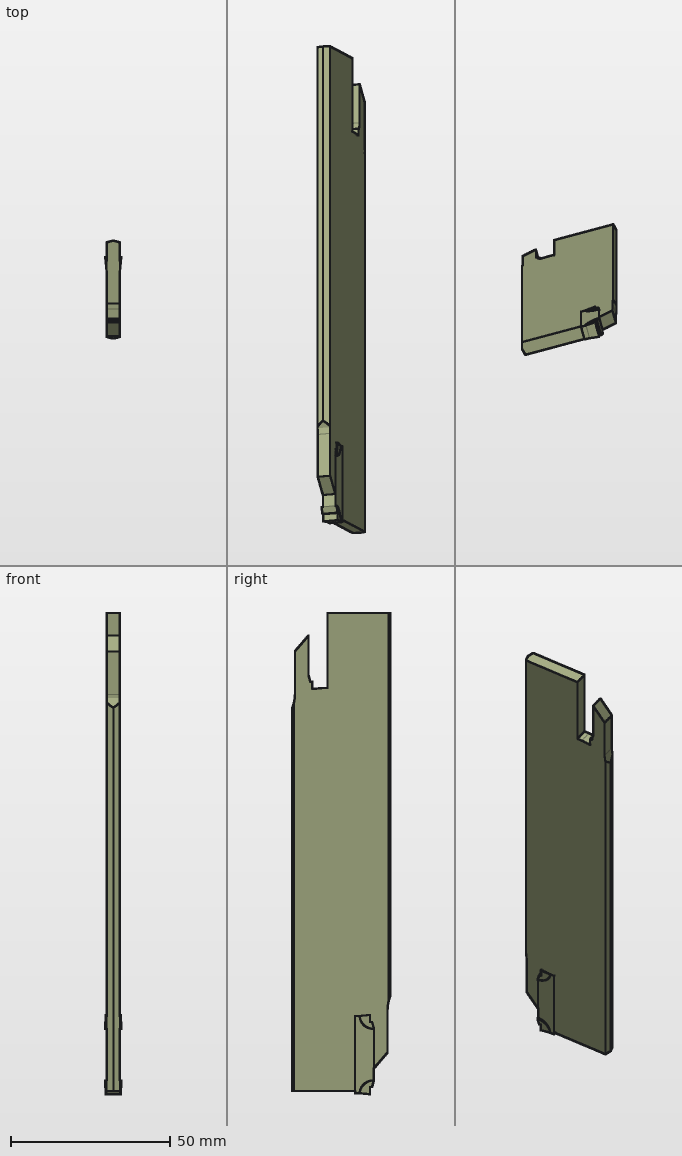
import cadquery as cq
import math


total_length = 151.0
insert_overhang = 1.0
blade_length = total_length - insert_overhang
blade_half_width = 15.4
blade_thickness = 4.2
vee_angle = 15.0
vee_depth = blade_thickness / 2 * math.tan(math.radians(vee_angle))

relief_depth = 0.83
relief_radius = 10.5
relief_length = 25.7
jaw_tip_z = 7.1
jaw_corner_z = 12.1

seat_inner_y = 4.4
seat_outer_y = 10.3
nose_y = 9.0
insert_length = 24.9
head_length = 4.4
step_height = 2.3
step_y = 9.7
lip_y = 6.0
lip_rise = 0.3
head_width = 5.1
insert_bottom_z = -insert_overhang
insert_top_z = insert_bottom_z + insert_length
insert_middle_z = (insert_bottom_z + insert_top_z) / 2
head_end_y = 5.7
head_arc_mid_y = 6.8
head_arc_mid_height = 2.9


def extrude_centred(sketch, thickness):
    """Extrude a closed YZ outline evenly to both sides of X = 0."""
    return sketch.extrude(thickness / 2, both=True)


def turn_end_for_end(shape):
    """Turn a shape half a turn about the X axis through the blade's middle."""
    middle = blade_length / 2
    return shape.rotate((0, 0, middle), (1, 0, middle), 180)


def insert_body():
    """Parallel-sided body of the insert, which is also the shape of its seat."""
    end_profile = [
        (seat_inner_y, lip_rise),
        (lip_y, lip_rise),
        (nose_y, 0),
        (nose_y, step_height),
        (step_y, step_height),
        (seat_outer_y, head_length),
    ]
    lower_points = [(y, insert_bottom_z + height) for y, height in end_profile]
    upper_points = [(y, insert_top_z - height) for y, height in reversed(end_profile)]
    outline = cq.Workplane("YZ").polyline(lower_points + upper_points).close()
    return extrude_centred(outline, blade_thickness)


def jaw_relief():
    """Cutter for the outside of the lower jaw, ending in an arc up to the ridge."""
    relief_y = blade_half_width - relief_depth
    runout = math.sqrt(relief_radius**2 - (relief_radius - relief_depth)**2)
    half_angle = math.asin(runout / relief_radius) / 2
    arc_middle = (
        relief_y + relief_radius * (1 - math.cos(half_angle)),
        relief_length + relief_radius * math.sin(half_angle),
    )
    outline = (
        cq.Workplane("YZ")
        .moveTo(relief_y, 0)
        .lineTo(relief_y, relief_length)
        .threePointArc(arc_middle, (blade_half_width, relief_length + runout))
        .lineTo(blade_half_width, 0)
        .close()
    )
    return extrude_centred(outline, blade_thickness)


def jaw_end():
    """Cutter that shortens the lower jaw and slopes its end."""
    relief_y = blade_half_width - relief_depth
    slope = (jaw_corner_z - jaw_tip_z) / (relief_y - seat_outer_y)
    outer_z = jaw_corner_z + slope * relief_depth
    outline = cq.Workplane("YZ").polyline([
        (seat_inner_y, 0),
        (seat_inner_y, jaw_tip_z),
        (seat_outer_y, jaw_tip_z),
        (blade_half_width, outer_z),
        (blade_half_width, 0),
    ]).close()
    return extrude_centred(outline, blade_thickness)


def make_blade():
    half_thickness = blade_thickness / 2
    corner_y = blade_half_width - vee_depth
    bar = cq.Workplane("XY").polyline([
        (-half_thickness, -corner_y),
        (0, -blade_half_width),
        (half_thickness, -corner_y),
        (half_thickness, corner_y),
        (0, blade_half_width),
        (-half_thickness, corner_y),
    ]).close().extrude(blade_length)
    for cutter in (insert_body(), jaw_relief(), jaw_end()):
        bar = bar.cut(cutter).cut(turn_end_for_end(cutter))
    return bar


def insert_head():
    """Widened lower head: tapered in width along Y, with a curved inner boundary."""
    side = extrude_centred(
        cq.Workplane("YZ")
        .moveTo(head_end_y, insert_bottom_z + lip_rise)
        .lineTo(lip_y, insert_bottom_z + lip_rise)
        .lineTo(nose_y, insert_bottom_z)
        .lineTo(nose_y, insert_bottom_z + step_height)
        .lineTo(step_y, insert_bottom_z + step_height)
        .lineTo(seat_outer_y, insert_bottom_z + head_length)
        .threePointArc(
            (head_arc_mid_y, insert_bottom_z + head_arc_mid_height),
            (head_end_y, insert_bottom_z + lip_rise),
        )
        .close(),
        head_width,
    )
    taper = cq.Workplane("XY", origin=(0, 0, insert_bottom_z)).polyline([
        (-blade_thickness / 2, head_end_y),
        (blade_thickness / 2, head_end_y),
        (head_width / 2, seat_outer_y),
        (-head_width / 2, seat_outer_y),
    ]).close().extrude(head_length)
    return side.intersect(taper)


def mirror_to_upper_end(shape):
    return shape.mirror("XY", (0, 0, insert_middle_z))


def make_insert():
    head = insert_head()
    return insert_body().union(head).union(mirror_to_upper_end(head))


blade = make_blade()
insert = make_insert()

result = cq.Compound.makeCompound([blade.val(), insert.val()])